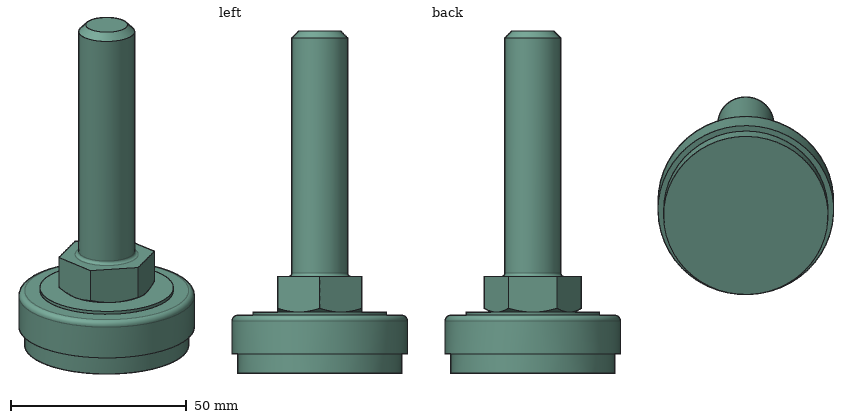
import cadquery as cq
import math

TOTAL_HEIGHT = 97.5

PAD_RADIUS = 23.4
PAD_HEIGHT = 5.6

CUP_DIAMETER = 50.0
CUP_HEIGHT = 11.0
CUP_RIM_RADIUS = 1.7

DISC_RADIUS = 19.0
DISC_HEIGHT = 0.9

HEX_SIDES = 6
HEX_ACROSS_FLATS = 24.0
HEX_HEIGHT = 10.1
HEX_CHAMFER_ANGLE = 30.0
STUD_RADIUS = 8.0
STUD_ROOT_FILLET = 1.0
STUD_TIP_CHAMFER = 2.0

CUP_BASE_Z = PAD_HEIGHT
DISC_BASE_Z = CUP_BASE_Z + CUP_HEIGHT
HEX_BASE_Z = DISC_BASE_Z + DISC_HEIGHT
STUD_BASE_Z = HEX_BASE_Z + HEX_HEIGHT


def cylinder(radius, height, base_z):
    """Upright cylinder on the Z axis."""
    return cq.Workplane("XY").workplane(offset=base_z).circle(radius).extrude(height)


def make_pad():
    return cylinder(PAD_RADIUS, PAD_HEIGHT, 0)


def make_cup():
    cup = cylinder(CUP_DIAMETER / 2, CUP_HEIGHT, CUP_BASE_Z)
    return cup.faces(">Z").edges().fillet(CUP_RIM_RADIUS)


def make_disc():
    return cylinder(DISC_RADIUS, DISC_HEIGHT, DISC_BASE_Z)


def make_hexagon():
    """Hexagon with two corners on the X axis and its lower corners turned off by a cone."""
    flat_radius = HEX_ACROSS_FLATS / 2
    corner_radius = flat_radius / math.cos(math.pi / HEX_SIDES)
    chamfer_rise = (corner_radius - flat_radius) * math.tan(math.radians(HEX_CHAMFER_ANGLE))

    prism = (
        cq.Workplane("XY")
        .workplane(offset=HEX_BASE_Z)
        .polygon(HEX_SIDES, 2 * corner_radius)
        .extrude(HEX_HEIGHT)
    )
    turned_blank = (
        cq.Workplane("XZ")
        .moveTo(0, HEX_BASE_Z)
        .lineTo(flat_radius, HEX_BASE_Z)
        .lineTo(corner_radius, HEX_BASE_Z + chamfer_rise)
        .lineTo(corner_radius, STUD_BASE_Z)
        .lineTo(0, STUD_BASE_Z)
        .close()
        .revolve(360, (0, 0), (0, 1))
    )
    return prism.intersect(turned_blank)


def make_stud():
    """Round stud with a conical tip and a concave fillet where it meets the hexagon."""
    diagonal = math.sqrt(0.5)
    fillet_outer_radius = STUD_RADIUS + STUD_ROOT_FILLET
    fillet_top_z = STUD_BASE_Z + STUD_ROOT_FILLET
    fillet_middle = (
        fillet_outer_radius - STUD_ROOT_FILLET * diagonal,
        fillet_top_z - STUD_ROOT_FILLET * diagonal,
    )
    return (
        cq.Workplane("XZ")
        .moveTo(0, STUD_BASE_Z)
        .lineTo(fillet_outer_radius, STUD_BASE_Z)
        .threePointArc(fillet_middle, (STUD_RADIUS, fillet_top_z))
        .lineTo(STUD_RADIUS, TOTAL_HEIGHT - STUD_TIP_CHAMFER)
        .lineTo(STUD_RADIUS - STUD_TIP_CHAMFER, TOTAL_HEIGHT)
        .lineTo(0, TOTAL_HEIGHT)
        .close()
        .revolve(360, (0, 0), (0, 1))
    )


def make_spindle():
    return make_hexagon().union(make_stud())


pad = make_pad()
cup = make_cup()
disc = make_disc()
spindle = make_spindle()

result = cq.Compound.makeCompound([pad.val(), cup.val(), disc.val(), spindle.val()])